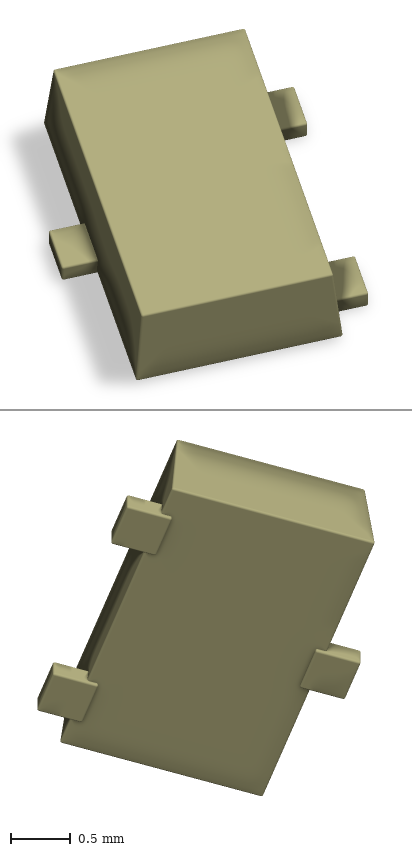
import cadquery as cq

overall_length = 2.4
overall_height = 0.8

body_width = 2.9
body_depth = 1.8
body_standoff = 0.03
draft_angle = 5.0

edge_radius = 0.018

lead_width = 0.425
lead_length = 0.4
lead_height = 0.17
lead_pitch = 1.9

lead_places = [(0, -1), (-lead_pitch / 2, 1), (lead_pitch / 2, 1)]


def make_body():
    """Drafted body with every edge rounded, held just above the seating plane."""
    return (
        cq.Workplane("XY", origin=(0, 0, body_standoff))
        .rect(body_width, body_depth)
        .extrude(overall_height - body_standoff, taper=draft_angle)
        .edges()
        .fillet(edge_radius)
    )


def make_lead(x, side):
    """Rounded lead resting on the seating plane; side is +1 for +Y and -1 for -Y."""
    y = side * (overall_length - lead_length) / 2
    return (
        cq.Workplane("XY")
        .box(lead_width, lead_length, lead_height, centered=(True, True, False))
        .edges()
        .fillet(edge_radius)
        .translate((x, y, 0))
    )


result = make_body()
for lead_x, lead_side in lead_places:
    result = result.union(make_lead(lead_x, lead_side))